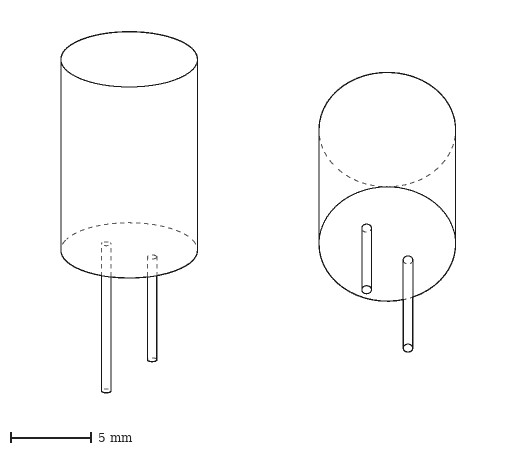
import cadquery as cq

total_height = 23.0

can_diameter = 8.5
can_height = 13.0

lead_diameter = 0.6
lead_spacing = 3.5
long_lead_length = total_height - can_height
short_lead_length = 7.0


def make_can():
    """Solid cylinder rising from Z = 0."""
    return cq.Workplane("XY").circle(can_diameter / 2).extrude(can_height)


def make_lead(x, length):
    """Round wire hanging from the underside of the can at the given X."""
    return cq.Workplane("XY").center(x, 0).circle(lead_diameter / 2).extrude(-length)


can = make_can()

lead_layout = [
    (-lead_spacing / 2, long_lead_length),
    (lead_spacing / 2, short_lead_length),
]
leads = [make_lead(x, length) for x, length in lead_layout]

result = cq.Compound.makeCompound([can.val(), *[lead.val() for lead in leads]])